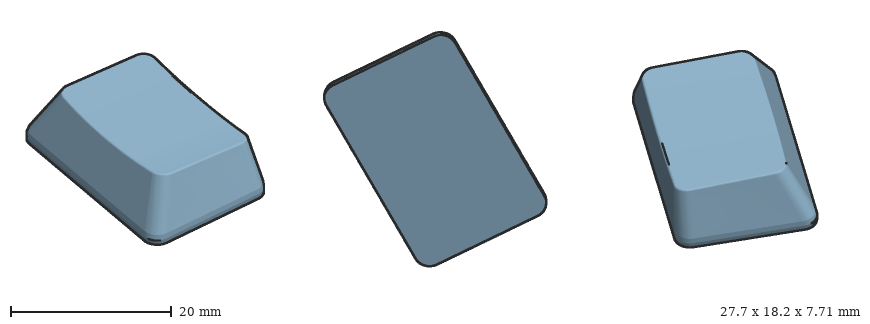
import cadquery as cq
import math

length = 27.7
width = 18.16
corner_radius = 2.0
upper_corner_radius = 1.65

skirt_height = 0.7
band_top = 1.35
band_middle = (skirt_height + band_top) / 2
blank_height = 8.85

side_lean = 0.47
front_lean = 0.51
back_lean = 0.085

dish_radius = 78.92
dish_height = 6.78
dish_slope = 0.05
rim_fillet = 0.3


def section(z, radius, slope=0.0):
    """Rounded rectangle cut through the leaning walls at height z, falling towards the back by slope."""
    rise = max(z - band_middle, 0)
    front = (-width / 2 + front_lean * rise) / (1 + front_lean * slope)
    back = (width / 2 - back_lean * rise) / (1 - back_lean * slope)
    tilt = math.atan(slope)
    depth = (back - front) / math.cos(tilt)
    middle = (front + back) / 2
    return (
        cq.Sketch()
        .rect(length - 2 * side_lean * rise, depth)
        .vertices()
        .fillet(radius)
        .moved(cq.Location(cq.Vector(0, middle, z - slope * middle), cq.Vector(1, 0, 0), -math.degrees(tilt)))
    )


def ruled_layer(low, high):
    """Straight-sided solid between two sections."""
    return cq.Workplane("XY").placeSketch(low, high).loft(ruled=True)


def dish_cutter():
    """Long cylinder that hollows the top across its length."""
    tilt = math.atan(dish_slope)
    axis = cq.Vector(0, math.cos(tilt), -math.sin(tilt))
    radial = cq.Vector(0, math.sin(tilt), math.cos(tilt))
    start = cq.Vector(0, 0, dish_height) + radial * dish_radius - axis * width
    return cq.Workplane(cq.Solid.makeCylinder(dish_radius, 2 * width, start, axis))


skirt_section = section(skirt_height, corner_radius)
band_section = section(band_top, corner_radius)
blank_section = section(blank_height, upper_corner_radius, dish_slope)

skirt = cq.Workplane("XY").placeSketch(section(0, corner_radius)).extrude(skirt_height)
band = ruled_layer(skirt_section, band_section)
walls = ruled_layer(band_section, blank_section)
body = skirt.union(band).union(walls).cut(dish_cutter())

result = body.faces(">Z").edges().fillet(rim_fillet)